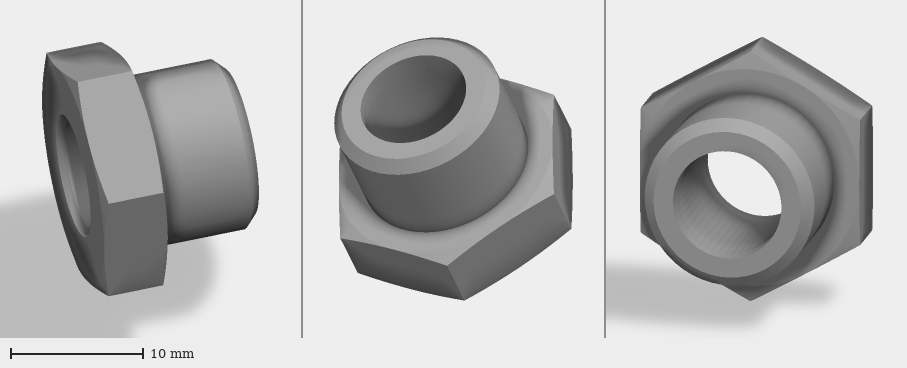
import cadquery as cq
import math

across_corners = 19.63
across_flats = across_corners * math.cos(math.radians(30))
head_thickness = 5.0
head_chamfer_angle = 15.0

total_length = 13.0
shank_diameter = 13.15
shank_chamfer = 0.86

bore_diameter = 8.4
mouth_diameter = 9.5
mouth_depth = (mouth_diameter - bore_diameter) / 2


def revolve_about_y(profile):
    """Revolve (radius, y) points, closed along the axis, into a solid."""
    return cq.Workplane("XY").polyline(profile).close().revolve(360, (0, 0), (0, 1))


def make_head():
    """Hexagon with corners on Z, its corners turned conical at both ends."""
    hexagon = (
        cq.Workplane("XZ")
        .polygon(6, across_corners)
        .extrude(-head_thickness)
        .rotate((0, 0, 0), (0, 1, 0), 30)
    )
    corner_radius = across_corners / 2
    face_radius = across_flats / 2
    chamfer_depth = (corner_radius - face_radius) * math.tan(math.radians(head_chamfer_angle))
    envelope = revolve_about_y([
        (0, 0),
        (face_radius, 0),
        (corner_radius, chamfer_depth),
        (corner_radius, head_thickness - chamfer_depth),
        (face_radius, head_thickness),
        (0, head_thickness),
    ])
    return hexagon.intersect(envelope)


def make_shank():
    """Cylinder from the front face to the chamfered rear end."""
    radius = shank_diameter / 2
    return revolve_about_y([
        (0, 0),
        (radius, 0),
        (radius, total_length - shank_chamfer),
        (radius - shank_chamfer, total_length),
        (0, total_length),
    ])


def make_bore():
    """Through hole widened by a cone at the front face."""
    return revolve_about_y([
        (0, 0),
        (mouth_diameter / 2, 0),
        (bore_diameter / 2, mouth_depth),
        (bore_diameter / 2, total_length),
        (0, total_length),
    ])


result = make_head().union(make_shank()).cut(make_bore())